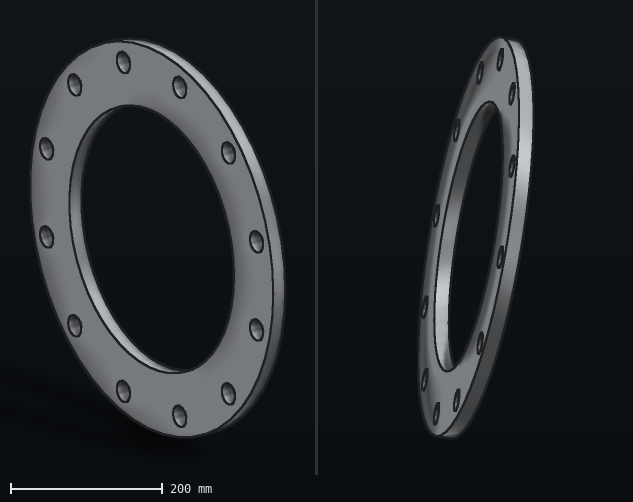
import cadquery as cq

outer_diameter = 533.4
bore_diameter = 360.43
thickness = 20.09
bolt_circle_diameter = 476.25
bolt_hole_diameter = 28.57
bolt_hole_count = 12

first_hole_angle = 360 / bolt_hole_count / 2


def make_ring():
    return (
        cq.Workplane("XZ")
        .circle(outer_diameter / 2)
        .circle(bore_diameter / 2)
        .extrude(thickness)
    )


def make_bolt_holes():
    return (
        cq.Workplane("XZ")
        .polarArray(bolt_circle_diameter / 2, first_hole_angle, 360, bolt_hole_count)
        .circle(bolt_hole_diameter / 2)
        .extrude(thickness)
    )


result = make_ring().cut(make_bolt_holes())